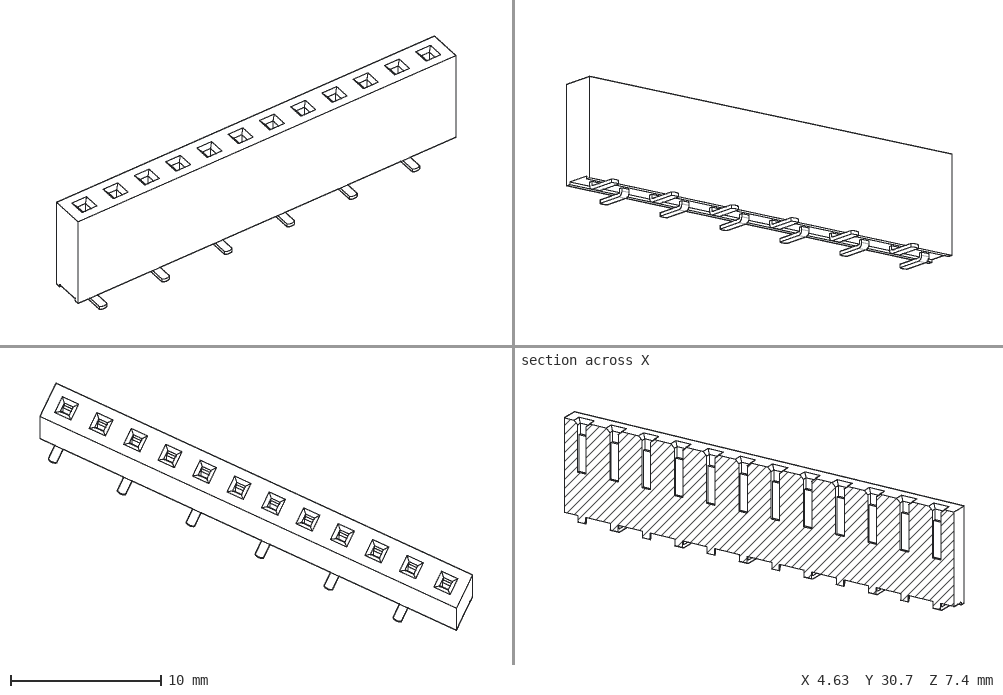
import cadquery as cq

length = 30.68
width = 2.52
height = 7.4
standoff = 0.37

channel_width = 1.78
channel_depth = 0.18

contact_count = 12
end_margin = 1.38
pitch = (length - 2 * end_margin) / (contact_count - 1)

mouth_size = 1.2
throat_size = 0.65
funnel_depth = 0.28
tine_drop = 0.77
tine_thickness = 0.18
socket_depth = 3.68

lead_span = 4.63
lead_width = 0.6
lead_thickness = 0.25
bend_radius = 0.1
tip_sagitta = 0.1
stem_embed = 0.3


def make_housing():
    """Rectangular bar with a channel along its underside."""
    bar = cq.Workplane("XY").workplane(offset=standoff).rect(width, length).extrude(height - standoff)
    channel = (
        cq.Workplane("XY").workplane(offset=standoff)
        .rect(channel_width, length).extrude(channel_depth)
    )
    return bar.cut(channel)


def make_socket():
    """Cavity of one socket: a funnel, a square throat and the gap between the tines."""
    funnel = (
        cq.Workplane("XY").workplane(offset=height).rect(mouth_size, mouth_size)
        .workplane(offset=-funnel_depth).rect(throat_size, throat_size).loft(ruled=True)
    )
    throat = (
        cq.Workplane("XY").workplane(offset=height)
        .rect(throat_size, throat_size).extrude(-(funnel_depth + tine_drop))
    )
    tine_gap = (
        cq.Workplane("XY").workplane(offset=height)
        .rect(throat_size - 2 * tine_thickness, throat_size).extrude(-socket_depth)
    )
    return funnel.union(throat).union(tine_gap)


def make_lead():
    """L-shaped lead: a stem at x = 0 bent into a foot towards +X, with a rounded tip."""
    half = lead_thickness / 2
    outer_radius = bend_radius + lead_thickness
    bend_x = half + bend_radius
    stem_top = standoff + channel_depth + stem_embed
    tip_x = lead_span / 2
    profile = (
        cq.Workplane("XZ")
        .moveTo(-half, stem_top)
        .lineTo(-half, outer_radius)
        .radiusArc((bend_x, 0), -outer_radius)
        .lineTo(tip_x, 0)
        .lineTo(tip_x, lead_thickness)
        .lineTo(bend_x, lead_thickness)
        .radiusArc((half, outer_radius), bend_radius)
        .lineTo(half, stem_top)
        .close()
    )
    strip = profile.extrude(lead_width / 2, both=True)
    shoulder_x = tip_x - tip_sagitta
    outline = (
        cq.Workplane("XY")
        .moveTo(-half, -lead_width / 2)
        .lineTo(shoulder_x, -lead_width / 2)
        .threePointArc((tip_x, 0), (shoulder_x, lead_width / 2))
        .lineTo(-half, lead_width / 2)
        .close()
        .extrude(stem_top)
    )
    return strip.intersect(outline)


socket = make_socket()
right_lead = make_lead()
left_lead = right_lead.mirror("YZ")

result = make_housing()
for i in range(contact_count):
    y = -length / 2 + end_margin + i * pitch
    lead = right_lead if i % 2 == 0 else left_lead
    result = result.cut(socket.translate((0, y, 0))).union(lead.translate((0, y, 0)))